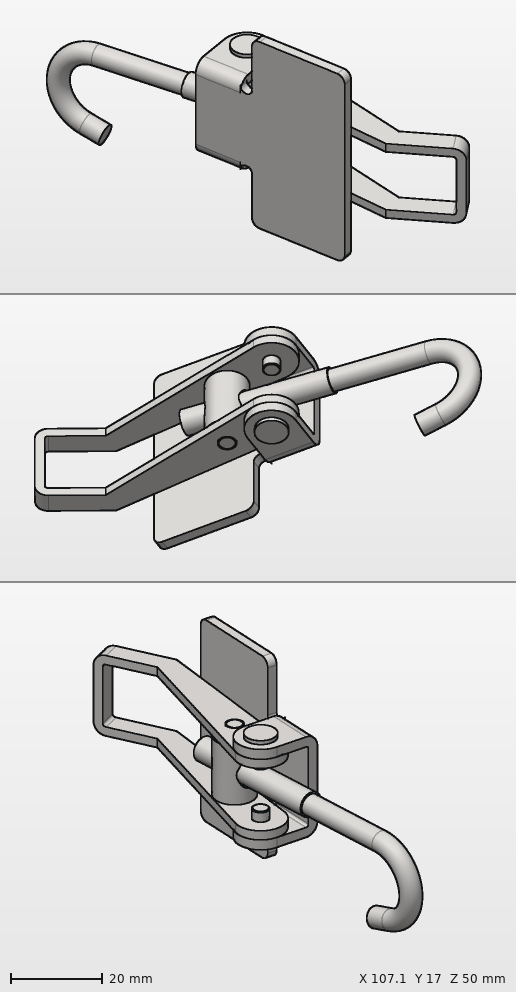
import cadquery as cq
import math


sheet = 2.5
plate_width = 24.9
plate_height = 50.0
plate_corner_radius = 2.0
lug_radius = 6.0
lug_outer_z = 12.4
relief_width = 3.1
relief_bottom_z = 9.6
bend_outer_radius = 3.1
lug_depth = 17.0
pivot_y = lug_depth - lug_radius
plate_left = lug_radius + relief_width
lug_inner_z = lug_outer_z - sheet

arm_thickness = 2.3
knee_x = 43.7
knee_y = 1.8
grip_angle = 28.0
grip_depth = 5.0
grip_lower_length = 17.8
grip_upper_length = 15.5
grip_outer_radius = 3.0
grip_inner_radius = 0.8
arm_inner_z = lug_inner_z - arm_thickness

rivet_head_diameter = 7.5
rivet_head_height = 1.0
rivet_shank_diameter = 4.0
rivet_inner_z = 5.1
rivet_tip_chamfer = 0.2

barrel_x = 12.0
barrel_y = 9.3
barrel_diameter = 10.0
barrel_length = 14.6
countersink_diameter = 7.4
trunnion_diameter = 3.6
trunnion_hole_diameter = 4.2

rod_tilt = 5.6
hook_roll = -2.4
rod_z = -0.2
thread_diameter = 6.0
thread_end = 10.1
thread_start = -25.0
hook_diameter = 5.1
hook_start = -47.9
hook_radius = 9.5
hook_sweep = 165.0
hook_tail = 5.1


def disc(x, y, diameter, z_from, z_to):
    """Cylinder along Z between two heights."""
    return cq.Workplane("XY", origin=(x, y, z_from)).circle(diameter / 2).extrude(z_to - z_from)


def along_rod(shape):
    """Move a shape from the rod's own frame (rod along X through the origin) into place."""
    return shape.rotate((0, 0, 0), (0, 0, 1), rod_tilt).translate((barrel_x, barrel_y, rod_z))


def tangent_point(x, y, side):
    """Point where a line from (x, y) touches the lever's rivet end; side is +1 above, -1 below."""
    toward = math.atan2(y - pivot_y, x)
    angle = toward + side * math.acos(lug_radius / math.hypot(x, y - pivot_y))
    return lug_radius * math.cos(angle), pivot_y + lug_radius * math.sin(angle)


def make_bracket():
    channel = (
        cq.Workplane("XY")
        .box(2 * lug_radius, lug_depth, 2 * lug_outer_z, centered=(True, False, True))
        .edges("|X and <Y")
        .fillet(bend_outer_radius)
    )
    inside = (
        cq.Workplane("XY", origin=(0, sheet, 0))
        .box(2 * lug_radius, lug_depth, 2 * lug_inner_z, centered=(True, False, True))
        .edges("|X and <Y")
        .fillet(bend_outer_radius - sheet)
    )
    lug_outline = (
        cq.Workplane("XY")
        .moveTo(-lug_radius, 0)
        .lineTo(lug_radius, 0)
        .lineTo(lug_radius, pivot_y)
        .threePointArc((0, lug_depth), (-lug_radius, pivot_y))
        .close()
        .extrude(lug_outer_z, both=True)
    )
    channel = channel.cut(inside).intersect(lug_outline)

    plate = (
        cq.Workplane("XY", origin=(plate_left, 0, 0))
        .box(plate_width, sheet, plate_height, centered=(False, False, True))
        .edges("|Y")
        .fillet(plate_corner_radius)
    )
    neck_height = 2 * relief_bottom_z + relief_width
    neck = (
        cq.Workplane("XY", origin=(lug_radius, 0, 0))
        .box(relief_width, sheet, neck_height, centered=(False, False, True))
    )
    for side in (1, -1):
        round_bottom = (
            cq.Workplane("XZ", origin=(lug_radius + relief_width / 2, 0, 0))
            .center(0, side * neck_height / 2)
            .circle(relief_width / 2)
            .extrude(-sheet)
        )
        neck = neck.cut(round_bottom)
    bracket = channel.union(neck).union(plate)

    return bracket.cut(disc(0, pivot_y, rivet_shank_diameter, -lug_outer_z, lug_outer_z))


def make_lever():
    along = (math.cos(math.radians(grip_angle)), math.sin(math.radians(grip_angle)))
    tip_x = knee_x + grip_lower_length * along[0]
    tip_y = knee_y + grip_lower_length * along[1]
    tip_top_x = tip_x - grip_depth * along[1]
    tip_top_y = tip_y + grip_depth * along[0]
    top_knee_x = tip_top_x - grip_upper_length * along[0]
    top_knee_y = tip_top_y - grip_upper_length * along[1]
    lever = (
        cq.Workplane("XY")
        .moveTo(*tangent_point(knee_x, knee_y, -1))
        .lineTo(knee_x, knee_y)
        .lineTo(tip_x, tip_y)
        .lineTo(tip_top_x, tip_top_y)
        .lineTo(top_knee_x, top_knee_y)
        .lineTo(*tangent_point(top_knee_x, top_knee_y, 1))
        .threePointArc((-lug_radius, pivot_y), tangent_point(knee_x, knee_y, -1))
        .close()
        .extrude(lug_inner_z, both=True)
    )

    grip_plane = cq.Plane(
        origin=(tip_x, tip_y, 0), xDir=(along[0], along[1], 0), normal=(-along[1], along[0], 0)
    )
    reach = 2 * (tip_x + lug_radius)
    rounded = (
        cq.Workplane(grip_plane)
        .box(reach, 2 * lug_inner_z, reach, centered=(False, True, True))
        .translate((-reach * along[0], -reach * along[1], 0))
        .edges(cq.selectors.ParallelDirSelector(grip_plane.zDir))
        .fillet(grip_outer_radius)
    )
    opening_start = reach + arm_thickness
    opening = (
        cq.Workplane(grip_plane)
        .box(reach, 2 * arm_inner_z, reach, centered=(False, True, True))
        .translate((-opening_start * along[0], -opening_start * along[1], 0))
        .edges(cq.selectors.ParallelDirSelector(grip_plane.zDir))
        .fillet(grip_inner_radius)
    )
    lever = lever.intersect(rounded).cut(opening)

    rivet_hole = disc(0, pivot_y, rivet_shank_diameter, -lug_outer_z, lug_outer_z)
    trunnion_hole = disc(barrel_x, barrel_y, trunnion_hole_diameter, -lug_outer_z, lug_outer_z)
    return lever.cut(rivet_hole).cut(trunnion_hole)


def make_rivet(side):
    """Rivet through one lug and one lever arm; side is +1 for the upper one, -1 for the lower."""
    shank = disc(0, pivot_y, rivet_shank_diameter, side * rivet_inner_z, side * lug_outer_z)
    tip = "<Z" if side > 0 else ">Z"
    shank = shank.faces(tip).chamfer(rivet_tip_chamfer)
    head_top = lug_outer_z + rivet_head_height
    head = disc(0, pivot_y, rivet_head_diameter, side * lug_outer_z, side * head_top)
    return shank.union(head)


def make_barrel():
    barrel = disc(
        barrel_x,
        barrel_y,
        barrel_diameter,
        rod_z - barrel_length / 2,
        rod_z + barrel_length / 2,
    )
    trunnions = disc(barrel_x, barrel_y, trunnion_diameter, -lug_inner_z, lug_inner_z)

    countersink_depth = (countersink_diameter - thread_diameter) / 2
    barrel_radius = barrel_diameter / 2
    rod_hole = (
        cq.Workplane("XY")
        .moveTo(-barrel_radius, 0)
        .lineTo(-barrel_radius, countersink_diameter / 2)
        .lineTo(-barrel_radius + countersink_depth, thread_diameter / 2)
        .lineTo(barrel_radius - countersink_depth, thread_diameter / 2)
        .lineTo(barrel_radius, countersink_diameter / 2)
        .lineTo(barrel_radius, 0)
        .close()
        .revolve(360, (0, 0, 0), (1, 0, 0))
    )

    return barrel.union(trunnions).cut(along_rod(rod_hole))


def make_hook_rod():
    thread = (
        cq.Workplane("YZ", origin=(thread_start, 0, 0))
        .circle(thread_diameter / 2)
        .extrude(thread_end - thread_start)
    )

    def on_arc(sweep):
        angle = math.radians(90 + sweep)
        return (
            hook_start + hook_radius * math.cos(angle),
            hook_radius * (math.sin(angle) - 1),
        )

    arc_end_x, arc_end_z = on_arc(hook_sweep)
    tail_angle = math.radians(180 + hook_sweep)
    centreline = (
        cq.Workplane("XZ")
        .moveTo(thread_start, 0)
        .lineTo(hook_start, 0)
        .threePointArc(on_arc(hook_sweep / 2), (arc_end_x, arc_end_z))
        .lineTo(
            arc_end_x + hook_tail * math.cos(tail_angle),
            arc_end_z + hook_tail * math.sin(tail_angle),
        )
    )
    hook = (
        cq.Workplane("YZ", origin=(thread_start, 0, 0)).circle(hook_diameter / 2).sweep(centreline)
    )
    hook = hook.rotate((0, 0, 0), (1, 0, 0), hook_roll)
    return along_rod(thread.union(hook))


bracket = make_bracket()
lever = make_lever()
barrel = make_barrel()
hook_rod = make_hook_rod()
rivets = [make_rivet(side) for side in (1, -1)]

result = cq.Compound.makeCompound(
    [bracket.val(), lever.val(), barrel.val(), hook_rod.val()] + [rivet.val() for rivet in rivets]
)